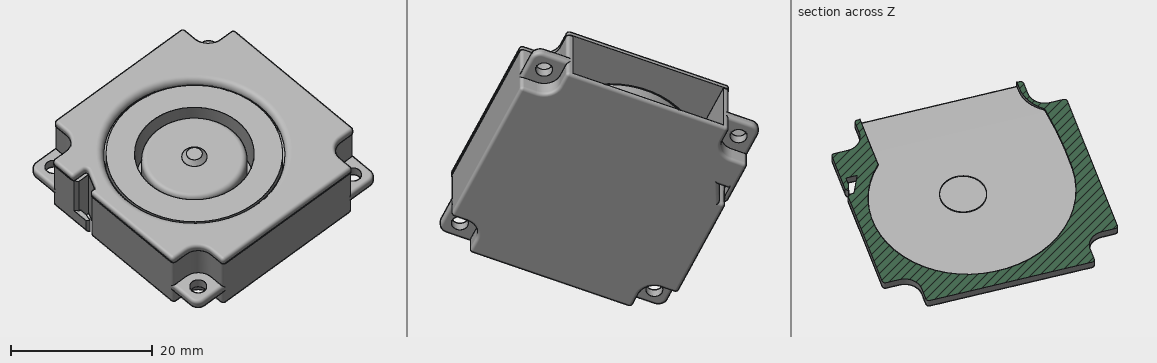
import cadquery as cq
import math

COVER_SIDE = 35
HOUSING_SIDE = 34.8
TOTAL_HEIGHT = 10.0
COVER_THICKNESS = 1.0
HOUSING_HEIGHT = TOTAL_HEIGHT - COVER_THICKNESS
EDGE_ROUND = 0.5

HOLE_OFFSET = 14.95
HOLE_RADIUS = 1.2
NOTCH_RADIUS = 2.5
EAR_BOTTOM = 2.55
EAR_THICKNESS = 1.55
EAR_CORNER_RADIUS = 1.4

AXIS_Y = -1.7
IMPELLER_RADIUS = 12.45
IMPELLER_BOTTOM = 1.92
IMPELLER_TOP = 9.3
GROOVE_OUTER_RADIUS = 8.45
GROOVE_FLOOR = 2.95
HUB_RADIUS = 7.45
HUB_TOP = 8.6
HUB_ROUND = 0.77
NUB_RADIUS = 1.8
NUB_TIP_RADIUS = 1.12
NUB_HEIGHT = 0.65

INLET_RADIUS = 12.78

FLOOR_HEIGHT = 1.33
OUTLET_HALF_WIDTH = 11.55
SCROLL_TONGUE_RADIUS = 13.12
SCROLL_TOP_RADIUS = 16.1
SCROLL_TOP_ANGLE = 90
CORNER_WALL_X = -16.17
CORNER_WALL_RADIUS = 5.9
CORNER_WALL_END_ANGLE = -38
CORNER_WALL_MIDDLE_ANGLE = (CORNER_WALL_END_ANGLE - 90) / 2
TONGUE_ANGLE = -180 + math.degrees(math.asin((OUTLET_HALF_WIDTH + AXIS_Y) / SCROLL_TONGUE_RADIUS))
RAMP_LIP_HEIGHT = 0.52
RAMP_END_X = -11.02
BEARING_BOSS_RADIUS = 3.32
BEARING_BOSS_HEIGHT = 0.15

CABLE_LEFT = -8.12
HOUSING_CABLE_LEFT = -7.6
CABLE_RIGHT = -4.7
CABLE_BACK_Y = -14.8
CABLE_RIGHT_Y = -16.4
CABLE_CORNER_RADIUS = 0.4
CABLE_CHAMFER = 0.52
LIP_TOP = 2.45
LIP_ROOT_X = CABLE_LEFT - EDGE_ROUND
LIP_BACK_Y = -16.62
LIP_TAPER_X = -6.37
LIP_TIP_X = -5.25
LIP_TIP_BACK_Y = -16.95
LIP_TIP_CHAMFER = 0.4


def notched_plate(side, height):
    """Square plate whose corners are notched around the screw holes."""
    corner_size = side / 2 - HOLE_OFFSET
    plate = cq.Workplane().rect(side, side).extrude(height)
    for x_sign in (-1, 1):
        for y_sign in (-1, 1):
            notch = corner_cutter(x_sign, y_sign, corner_size).extrude(height)
            plate = plate.cut(notch)
    return plate


def corner_cutter(x_sign, y_sign, corner_size):
    """Corner notch outline: a quarter round about the hole with straight sides out to the corner."""
    inner = HOLE_OFFSET - NOTCH_RADIUS
    outer = HOLE_OFFSET + corner_size
    arc_middle = HOLE_OFFSET - NOTCH_RADIUS * math.sqrt(0.5)
    return (
        cq.Workplane()
        .moveTo(x_sign * outer, y_sign * outer)
        .lineTo(x_sign * inner, y_sign * outer)
        .lineTo(x_sign * inner, y_sign * HOLE_OFFSET)
        .threePointArc((x_sign * arc_middle, y_sign * arc_middle), (x_sign * HOLE_OFFSET, y_sign * inner))
        .lineTo(x_sign * outer, y_sign * inner)
        .close()
    )


def cut_cable_notch(plate, left, side, height):
    """Cut the cable notch, with its slanted back wall, into the -Y side and round its right mouth."""
    slope = (CABLE_RIGHT_Y - CABLE_BACK_Y) / (CABLE_RIGHT - CABLE_LEFT)
    notch = (
        cq.Workplane()
        .moveTo(left, -side / 2)
        .lineTo(left, CABLE_BACK_Y + slope * (left - CABLE_LEFT))
        .lineTo(CABLE_RIGHT, CABLE_RIGHT_Y)
        .lineTo(CABLE_RIGHT, -side / 2)
        .close()
        .extrude(height)
    )
    plate = plate.cut(notch)
    return upright_edge(plate, (CABLE_RIGHT, -side / 2), height).fillet(EDGE_ROUND)


def upright_edge(plate, corner, height):
    """The vertical edge of a plate at the given corner point."""
    return plate.edges("|Z").edges(cq.selectors.NearestToPointSelector((*corner, height / 2)))


def mouth_edges(plate, side):
    """The eight vertical edges where the corner notches meet the sides of the plate."""
    half = side / 2
    inner = HOLE_OFFSET - NOTCH_RADIUS
    edges = []
    for edge in plate.edges("|Z").vals():
        across = sorted(abs(value) for value in (edge.Center().x, edge.Center().y))
        if math.isclose(across[0], inner, abs_tol=0.005) and math.isclose(across[1], half, abs_tol=0.005):
            edges.append(edge)
    return plate.newObject(edges)


def scroll_point(angle):
    """Point on the scroll wall, whose radius grows steadily from the tongue to the top of the scroll."""
    turn = (angle - TONGUE_ANGLE) / (SCROLL_TOP_ANGLE - TONGUE_ANGLE)
    radius = SCROLL_TONGUE_RADIUS + turn * (SCROLL_TOP_RADIUS - SCROLL_TONGUE_RADIUS)
    turned = math.radians(angle)
    return (radius * math.cos(turned), AXIS_Y + radius * math.sin(turned))


def corner_wall_point(angle):
    """Point on the wall round the -X +Y notch, which runs tangent into the outlet wall."""
    centre_y = OUTLET_HALF_WIDTH + CORNER_WALL_RADIUS
    turned = math.radians(angle)
    return (
        CORNER_WALL_X + CORNER_WALL_RADIUS * math.cos(turned),
        centre_y + CORNER_WALL_RADIUS * math.sin(turned),
    )


def scroll_cavity():
    """Scroll and outlet, above a floor that ramps down to the outlet."""
    outlet_x = -HOUSING_SIDE / 2
    cavity = (
        cq.Workplane()
        .workplane(offset=RAMP_LIP_HEIGHT)
        .moveTo(outlet_x, -OUTLET_HALF_WIDTH)
        .lineTo(*scroll_point(TONGUE_ANGLE))
        .threePointArc(scroll_point(TONGUE_ANGLE / 2), scroll_point(0))
        .threePointArc(scroll_point(SCROLL_TOP_ANGLE / 2), scroll_point(SCROLL_TOP_ANGLE))
        .tangentArcPoint(corner_wall_point(CORNER_WALL_END_ANGLE), relative=False)
        .threePointArc(corner_wall_point(CORNER_WALL_MIDDLE_ANGLE), corner_wall_point(-90))
        .lineTo(outlet_x, OUTLET_HALF_WIDTH)
        .close()
        .extrude(HOUSING_HEIGHT - RAMP_LIP_HEIGHT)
    )
    floor = (
        cq.Workplane("XZ")
        .moveTo(outlet_x, RAMP_LIP_HEIGHT)
        .lineTo(RAMP_END_X, FLOOR_HEIGHT)
        .lineTo(HOUSING_SIDE / 2, FLOOR_HEIGHT)
        .lineTo(HOUSING_SIDE / 2, 0)
        .lineTo(outlet_x, 0)
        .close()
        .extrude(HOUSING_SIDE / 2, both=True)
    )
    bearing_boss = (
        cq.Workplane()
        .workplane(offset=FLOOR_HEIGHT)
        .center(0, AXIS_Y)
        .circle(BEARING_BOSS_RADIUS)
        .extrude(BEARING_BOSS_HEIGHT)
    )
    return cavity.cut(floor).cut(bearing_boss)


def ears():
    """Four rounded screw ears, cut from one plate that fills the corner notches."""
    plate = (
        cq.Workplane()
        .workplane(offset=EAR_BOTTOM)
        .rect(HOUSING_SIDE, HOUSING_SIDE)
        .extrude(EAR_THICKNESS)
        .edges("|Z")
        .fillet(EAR_CORNER_RADIUS)
        .faces("<Z or >Z")
        .edges()
        .fillet(EDGE_ROUND)
    )
    ear_size = HOUSING_SIDE / 2 - HOLE_OFFSET + NOTCH_RADIUS + EDGE_ROUND
    ear_middle = (HOUSING_SIDE - ear_size) / 2
    corners = (
        cq.Workplane()
        .rect(2 * ear_middle, 2 * ear_middle, forConstruction=True)
        .vertices()
        .rect(ear_size, ear_size)
        .extrude(HOUSING_HEIGHT)
    )
    return plate.intersect(corners)


def cable_lip():
    """Low tapered tongue that closes the bottom of the cable notch at the -Y side."""
    front_y = -HOUSING_SIDE / 2
    return (
        cq.Workplane()
        .moveTo(LIP_ROOT_X, front_y)
        .lineTo(LIP_ROOT_X, LIP_BACK_Y)
        .lineTo(LIP_TAPER_X, LIP_BACK_Y)
        .lineTo(LIP_TIP_X, LIP_TIP_BACK_Y)
        .lineTo(LIP_TIP_X, front_y + LIP_TIP_CHAMFER)
        .lineTo(LIP_TIP_X - LIP_TIP_CHAMFER, front_y)
        .close()
        .extrude(LIP_TOP)
        .edges("<Z and <Y")
        .fillet(EDGE_ROUND)
    )


def build_housing():
    body = notched_plate(HOUSING_SIDE, HOUSING_HEIGHT)
    body = mouth_edges(body, HOUSING_SIDE).fillet(EDGE_ROUND)
    body = cut_cable_notch(body, HOUSING_CABLE_LEFT, HOUSING_SIDE, HOUSING_HEIGHT)
    left_corner = (HOUSING_CABLE_LEFT, -HOUSING_SIDE / 2)
    body = upright_edge(body, left_corner, HOUSING_HEIGHT).chamfer(CABLE_CHAMFER)
    body = body.faces("<Z").edges().fillet(EDGE_ROUND)
    body = body.union(cable_lip()).union(ears())
    body = body.cut(scroll_cavity())
    screw_holes = (
        cq.Workplane()
        .rect(2 * HOLE_OFFSET, 2 * HOLE_OFFSET, forConstruction=True)
        .vertices()
        .circle(HOLE_RADIUS)
        .extrude(HOUSING_HEIGHT)
    )
    return body.cut(screw_holes).solids()


def build_cover():
    plate = notched_plate(COVER_SIDE, COVER_THICKNESS)
    plate = mouth_edges(plate, COVER_SIDE).fillet(EDGE_ROUND)
    plate = cut_cable_notch(plate, CABLE_LEFT, COVER_SIDE, COVER_THICKNESS)
    rounded_corners = (
        ((CABLE_LEFT, CABLE_BACK_Y), CABLE_CORNER_RADIUS),
        ((CABLE_RIGHT, CABLE_RIGHT_Y), EDGE_ROUND),
        ((CABLE_LEFT, -COVER_SIDE / 2), EDGE_ROUND),
    )
    for corner, radius in rounded_corners:
        plate = upright_edge(plate, corner, COVER_THICKNESS).fillet(radius)
    plate = plate.faces(">Z").edges().fillet(EDGE_ROUND)
    inlet = (
        cq.Workplane("XZ")
        .moveTo(0, 0)
        .lineTo(INLET_RADIUS, 0)
        .radiusArc((INLET_RADIUS + COVER_THICKNESS, COVER_THICKNESS), COVER_THICKNESS)
        .lineTo(0, COVER_THICKNESS)
        .close()
        .revolve(360, (0, 0), (0, 1))
        .translate((0, AXIS_Y, 0))
    )
    return plate.cut(inlet).solids().translate((0, 0, HOUSING_HEIGHT))


def build_impeller():
    """Impeller ring and rounded hub, parted by a deep groove, with a conical nub on the hub."""
    hub_arc_start = HUB_TOP - HUB_ROUND
    profile = (
        cq.Workplane("XZ")
        .moveTo(0, IMPELLER_BOTTOM)
        .lineTo(IMPELLER_RADIUS, IMPELLER_BOTTOM)
        .lineTo(IMPELLER_RADIUS, IMPELLER_TOP)
        .lineTo(GROOVE_OUTER_RADIUS, IMPELLER_TOP)
        .lineTo(GROOVE_OUTER_RADIUS, GROOVE_FLOOR)
        .lineTo(HUB_RADIUS, GROOVE_FLOOR)
        .lineTo(HUB_RADIUS, hub_arc_start)
        .tangentArcPoint((HUB_RADIUS - HUB_ROUND, HUB_TOP), relative=False)
        .lineTo(NUB_RADIUS, HUB_TOP)
        .lineTo(NUB_TIP_RADIUS, HUB_TOP + NUB_HEIGHT)
        .lineTo(0, HUB_TOP + NUB_HEIGHT)
        .close()
    )
    return profile.revolve(360, (0, 0), (0, 1)).translate((0, AXIS_Y, 0))


housing = build_housing()
cover = build_cover()
impeller = build_impeller()

result = cq.Compound.makeCompound([housing.val(), cover.val(), impeller.val()])